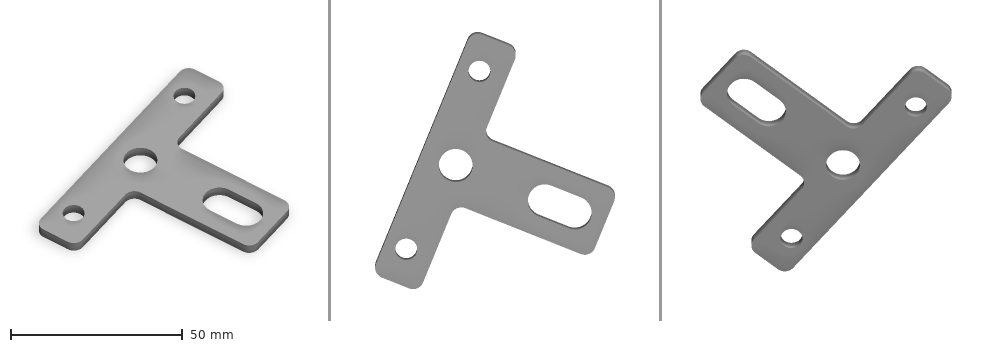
import cadquery as cq

bar_length = 77.7
plate_length = 57.4
thickness = 3.2
bar_width = 14.85
stem_width = 21.3
corner_radius = 3.2

small_hole_diameter = 6.4
small_hole_x = 6.6
small_hole_spacing = 56.9
large_hole_diameter = 9.9
large_hole_x = 10.65
slot_length = 19.3
slot_width = large_hole_diameter
slot_center_x = 43.4


def tee_plate():
    """T-shaped plate with equal radii on its outer and inner corners."""
    bar = cq.Workplane("XY").box(bar_width, bar_length, thickness, centered=(False, True, False))
    stem = cq.Workplane("XY").box(plate_length, stem_width, thickness, centered=(False, True, False))
    return bar.union(stem).edges("|Z").fillet(corner_radius)


def openings():
    """Solid cutters for the round holes and the slot along the stem."""
    half_spacing = small_hole_spacing / 2
    small_holes = (
        cq.Workplane("XY")
        .pushPoints([(small_hole_x, -half_spacing), (small_hole_x, half_spacing)])
        .circle(small_hole_diameter / 2)
        .extrude(thickness)
    )
    large_hole = (
        cq.Workplane("XY")
        .center(large_hole_x, 0)
        .circle(large_hole_diameter / 2)
        .extrude(thickness)
    )
    slot = (
        cq.Workplane("XY")
        .center(slot_center_x, 0)
        .slot2D(slot_length, slot_width)
        .extrude(thickness)
    )
    return small_holes.union(large_hole).union(slot)


result = tee_plate().cut(openings())